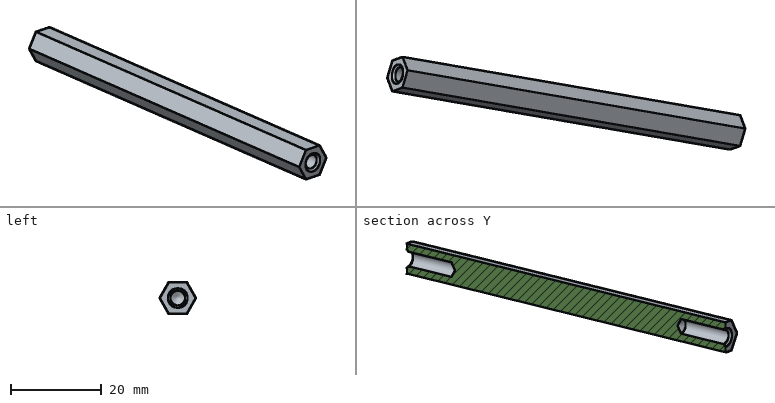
import cadquery as cq
import math

length = 90.0
across_flats = 7.0
across_corners = 8.0

hole_diameter = 3.2
countersink_diameter = 4.3
countersink_angle = 90.0
hole_depth = 12.6
drill_point_angle = 118.0


def cone_height(radius_change, full_angle):
    return radius_change / math.tan(math.radians(full_angle / 2))


def end_hole():
    """Countersunk hole with a conical bottom, opening at the -X end."""
    hole_radius = hole_diameter / 2
    mouth_radius = countersink_diameter / 2
    end_x = -length / 2
    countersink_depth = cone_height(mouth_radius - hole_radius, countersink_angle)
    tip_x = end_x + hole_depth + cone_height(hole_radius, drill_point_angle)
    return (
        cq.Workplane("XY")
        .moveTo(end_x, 0)
        .lineTo(end_x, mouth_radius)
        .lineTo(end_x + countersink_depth, hole_radius)
        .lineTo(end_x + hole_depth, hole_radius)
        .lineTo(tip_x, 0)
        .close()
        .revolve(360, (0, 0, 0), (1, 0, 0))
    )


corner_y = across_corners / 2
flat_z = across_flats / 2
hexagon = [
    (corner_y, 0),
    (corner_y / 2, flat_z),
    (-corner_y / 2, flat_z),
    (-corner_y, 0),
    (-corner_y / 2, -flat_z),
    (corner_y / 2, -flat_z),
]
bar = cq.Workplane("YZ").polyline(hexagon).close().extrude(length / 2, both=True)

hole = end_hole()
result = bar.cut(hole).cut(hole.mirror("YZ"))